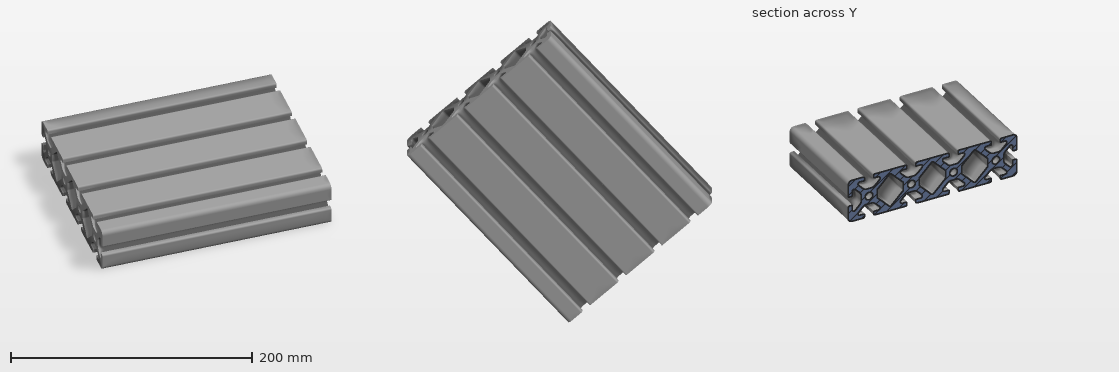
import cadquery as cq
import math

cell = 40.0
cell_count = 4
width = cell * cell_count
length = 200.0
height = cell
corner_radius = 4.0

mouth_width = 8.2
mouth_rounding = 1.5
lip_thickness = 4.2
slot_depth = 12.5
tip_half_width = 12.0
wall_bow = 0.3
floor_half_width = 4.0
floor_rounding = 5.0
tip_rounding = 1.5

cavity_half_width = 12.2
cavity_reach = 16.0
cavity_tip_rounding = 1.5
cavity_side_rounding = 1.5

bore_diameter = 6.8


def profile_plane():
    """XZ plane at the middle of the bar, so profiles extrude equally along +Y and -Y."""
    return cq.Workplane("XZ")


def extrude_along_bar(profile):
    return profile.extrude(length / 2, both=True)


def slot_cutter():
    """T-slot opening upward, with its outer face at Z = 0 and its middle at X = 0."""
    mouth_half_width = mouth_width / 2
    flare = mouth_half_width + mouth_rounding
    bend = mouth_rounding * (1 - math.sqrt(0.5))
    mouth = extrude_along_bar(
        profile_plane()
        .moveTo(-flare, 0)
        .threePointArc((-mouth_half_width - bend, -bend), (-mouth_half_width, -mouth_rounding))
        .lineTo(-mouth_half_width, -slot_depth / 2)
        .lineTo(mouth_half_width, -slot_depth / 2)
        .lineTo(mouth_half_width, -mouth_rounding)
        .threePointArc((mouth_half_width + bend, -bend), (flare, 0))
        .close()
    )

    wall_run = tip_half_width - floor_half_width
    wall_rise = slot_depth - lip_thickness
    wall_chord = math.hypot(wall_run, wall_rise)
    wall_mid_x = (tip_half_width + floor_half_width) / 2 + wall_bow * wall_rise / wall_chord
    wall_mid_z = -(slot_depth + lip_thickness) / 2 - wall_bow * wall_run / wall_chord
    chamber = extrude_along_bar(
        profile_plane()
        .moveTo(-tip_half_width, -lip_thickness)
        .lineTo(tip_half_width, -lip_thickness)
        .threePointArc((wall_mid_x, wall_mid_z), (floor_half_width, -slot_depth))
        .lineTo(-floor_half_width, -slot_depth)
        .threePointArc((-wall_mid_x, wall_mid_z), (-tip_half_width, -lip_thickness))
        .close()
    )
    chamber = chamber.edges("|Y and >Z").fillet(tip_rounding)
    chamber = chamber.edges("|Y and <Z").fillet(floor_rounding)
    return mouth.union(chamber)


def cavity_cutter():
    """Diamond with 45 degree walls, cut off flat on its left and right."""
    side_half_height = cavity_reach - cavity_half_width
    cavity = extrude_along_bar(
        profile_plane().polyline([
            (0, cavity_reach),
            (cavity_half_width, side_half_height),
            (cavity_half_width, -side_half_height),
            (0, -cavity_reach),
            (-cavity_half_width, -side_half_height),
            (-cavity_half_width, side_half_height),
        ]).close()
    )
    cavity = cavity.edges("|Y and (>X or <X)").fillet(cavity_side_rounding)
    return cavity.edges("|Y and (>Z or <Z)").fillet(cavity_tip_rounding)


def turned(cutter, degrees):
    """Turn a cutter about the bar's long axis."""
    return cutter.rotate((0, 0, 0), (0, 1, 0), degrees)


bar = cq.Workplane("XY").box(width, length, height).edges("|Y").fillet(corner_radius)
slot = slot_cutter()
cavity = cavity_cutter()
bore = extrude_along_bar(profile_plane().circle(bore_diameter / 2))

for index in range(cell_count):
    cell_x = (index + 0.5) * cell - width / 2
    bar = bar.cut(bore.translate((cell_x, 0, 0)))
    bar = bar.cut(slot.translate((cell_x, 0, height / 2)))
    bar = bar.cut(turned(slot, 180).translate((cell_x, 0, -height / 2)))

bar = bar.cut(turned(slot, 90).translate((width / 2, 0, 0)))
bar = bar.cut(turned(slot, -90).translate((-width / 2, 0, 0)))

for index in range(1, cell_count):
    bar = bar.cut(cavity.translate((index * cell - width / 2, 0, 0)))

result = bar